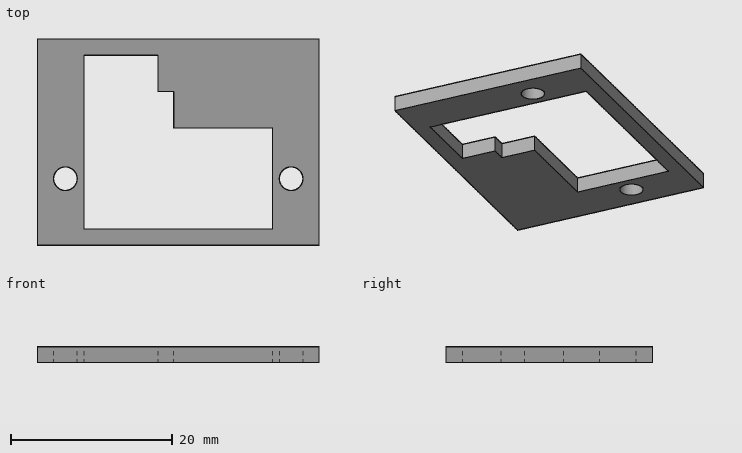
import cadquery as cq

plate_length = 34.9
plate_width = 25.6
plate_thickness = 2.0

side_margin = 5.8
end_margin = 2.05
window_left = side_margin
window_right = plate_length - side_margin
window_bottom = end_margin
window_top = plate_width - end_margin

upper_step_x = 14.95
lower_step_x = 16.9
step_height = 4.5
upper_step_y = window_top - step_height
lower_step_y = upper_step_y - step_height

hole_diameter = 2.9
hole_spacing = 28.0
hole_y = 8.27


def make_plate():
    return cq.Workplane("XY").box(plate_length, plate_width, plate_thickness, centered=False)


def make_window():
    outline = [
        (window_left, window_bottom),
        (window_right, window_bottom),
        (window_right, lower_step_y),
        (lower_step_x, lower_step_y),
        (lower_step_x, upper_step_y),
        (upper_step_x, upper_step_y),
        (upper_step_x, window_top),
        (window_left, window_top),
    ]
    return cq.Workplane("XY").polyline(outline).close().extrude(plate_thickness)


def make_holes():
    centers = [(plate_length / 2 + side * hole_spacing / 2, hole_y) for side in (-1, 1)]
    return cq.Workplane("XY").pushPoints(centers).circle(hole_diameter / 2).extrude(plate_thickness)


result = make_plate().cut(make_window()).cut(make_holes())